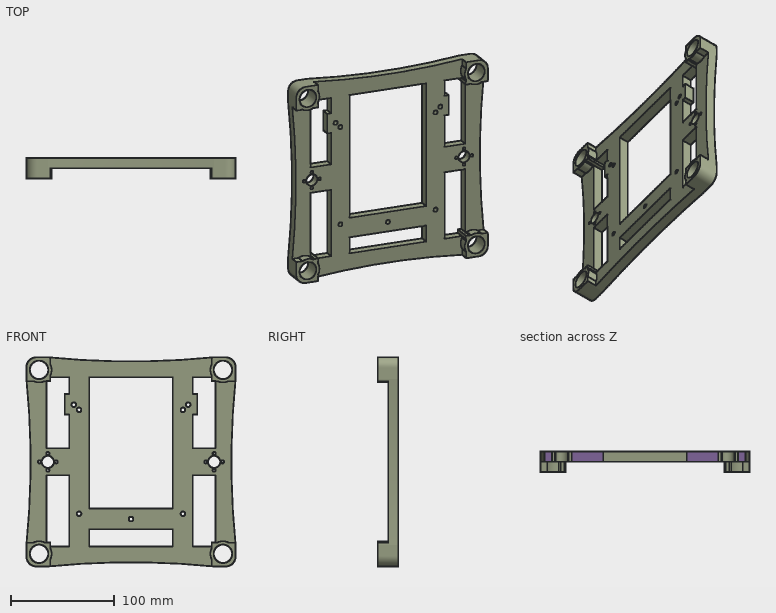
import cadquery as cq

side = 201.7
corner_depth = 20.0
plate_depth = corner_depth / 2
half_side = side / 2

corner_radius = 9.9
waist_start = half_side - 21.0
waist_depth = 4.0

block_size = 23.0
lug_size = 23.2
boss_radius = 12.1
bore_diameter = 17.5
bore_offset = 88.5

window_reach = 81.3
middle_half_width = 40.1
main_window_bottom = -44.8
lower_window_top = -65.0
slot_inner = 59.7
slot_bridge = 13.1
tab_reach = 64.0
tab_bottom = 45.4
tab_top = 65.5

screw_diameter = 4.2
screw_offset = 50.0
extra_screw_offset = 55.0

shaft_offset = 80.0
shaft_diameter = 11.5
ring_radius = 8
ring_diameter = 2.8

FRONT_PLANE = "XZ"
SIGNS = (-1, 1)


def bar(x0, x1, z0, z1):
    """Rectangular bar of full corner depth between two X and two Z limits."""
    return (
        cq.Workplane(FRONT_PLANE)
        .center((x0 + x1) / 2, (z0 + z1) / 2)
        .rect(abs(x1 - x0), abs(z1 - z0))
        .extrude(corner_depth)
    )


def cylinders(points, diameter):
    """Cylinders of full corner depth at the given (x, z) points."""
    return cq.Workplane(FRONT_PLANE).pushPoints(points).circle(diameter / 2).extrude(corner_depth)


def waisted_body(depth):
    """Square with rounded corners and an arc-shaped bite out of each side."""
    body = cq.Workplane(FRONT_PLANE).rect(side, side).extrude(depth).edges("|Y").fillet(corner_radius)
    bite = (
        cq.Workplane(FRONT_PLANE)
        .moveTo(-waist_start, half_side)
        .threePointArc((0, half_side - waist_depth), (waist_start, half_side))
        .close()
        .extrude(depth)
    )
    for angle in (0, 90, 180, 270):
        body = body.cut(bite.rotate((0, 0, 0), (0, 1, 0), angle))
    return body


def corner_block(sign_x, sign_z):
    """Square block at one corner, with the slightly larger lug that fills the slot corner."""
    block_inner = half_side - block_size
    lug_inner = half_side - lug_size
    block = bar(sign_x * block_inner, sign_x * half_side, sign_z * block_inner, sign_z * half_side)
    lug = bar(
        sign_x * lug_inner, sign_x * window_reach, sign_z * lug_inner, sign_z * window_reach
    )
    return block.union(lug)


def side_slots(sign):
    """Upper and lower slot on one side; a tab stands into the upper one."""
    inner = sign * slot_inner
    outer = sign * window_reach
    upper = bar(inner, outer, slot_bridge, window_reach)
    tab = bar(inner, sign * tab_reach, tab_bottom, tab_top)
    lower = bar(inner, outer, -window_reach, -slot_bridge)
    return upper.cut(tab).union(lower)


def shaft_holes(x):
    """Shaft hole with its ring of four small holes."""
    ring = [(x + ring_radius, 0), (x - ring_radius, 0), (x, ring_radius), (x, -ring_radius)]
    return cylinders([(x, 0)], shaft_diameter).union(cylinders(ring, ring_diameter))


plate = waisted_body(plate_depth)
plate = plate.cut(bar(-middle_half_width, middle_half_width, main_window_bottom, window_reach))
plate = plate.cut(bar(-middle_half_width, middle_half_width, -window_reach, lower_window_top))
for sign in SIGNS:
    plate = plate.cut(side_slots(sign))
    plate = plate.cut(shaft_holes(sign * shaft_offset))

screws = [(sx * screw_offset, sz * screw_offset) for sx in SIGNS for sz in SIGNS]
screws += [(sx * extra_screw_offset, extra_screw_offset) for sx in SIGNS]
screws.append((0, -extra_screw_offset))
plate = plate.cut(cylinders(screws, screw_diameter))

bores = [(sx * bore_offset, sz * bore_offset) for sx in SIGNS for sz in SIGNS]
blocks = cylinders(bores, 2 * boss_radius)
for sx in SIGNS:
    for sz in SIGNS:
        blocks = blocks.union(corner_block(sx, sz))
blocks = blocks.intersect(waisted_body(corner_depth))

result = plate.union(blocks).cut(cylinders(bores, bore_diameter))